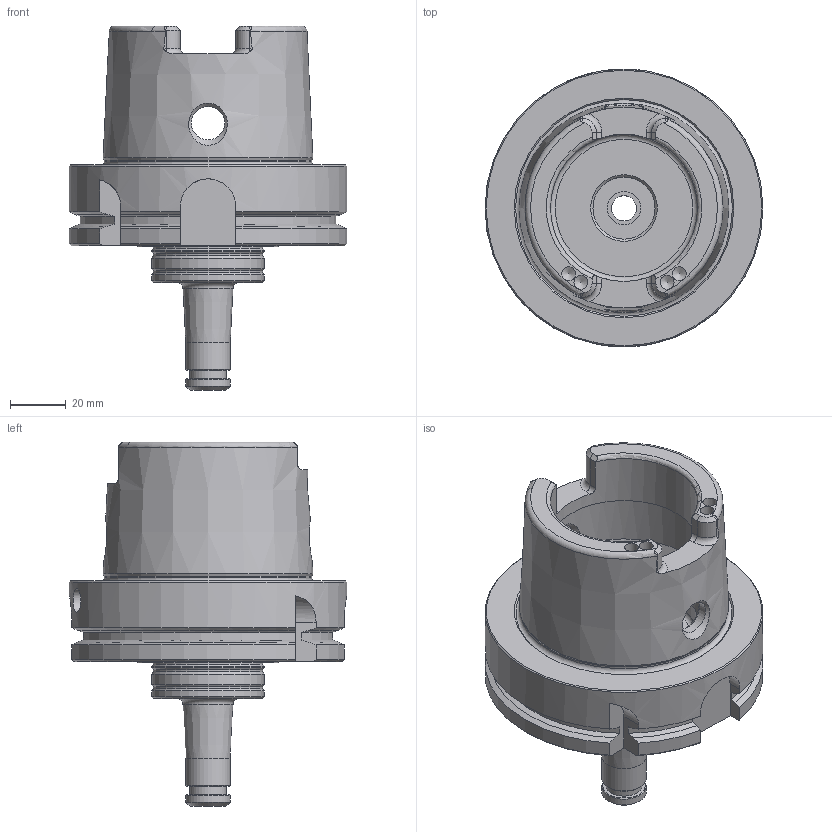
import cadquery as cq
import math


shank_height = 50.0
taper_base_d = 75.46
taper_base_z = 2.5
taper_slope = 0.046
rim_outer_fillet = 2.0
rim_inner_fillet = 1.5

relief_chamfer_z = 1.75
relief_neck_r = 37.4
relief_fillet_r = 1.6
relief_depth = 0.5

bore_d = 53.0
undercut_d = 63.0
undercut_top_z = 30.0
undercut_bottom_z = 9.6
undercut_angle = 20.0
floor_z = -12.2
floor_fillet = 1.75
thread_bore_d = 22.38
thread_chamfer_d = 24.0
thread_floor_z = -30.0
coolant_bore_d = 12.0
coolant_shoulder_z = -60.0
through_hole_d = 9.0

flange_d = 100.0
flange_thickness = 29.0
flange_top_chamfer = 0.4
flange_bottom_chamfer = 0.7
gripper_groove_d = 92.0
gripper_groove_top_z = -16.8
gripper_groove_bottom_z = -23.0
gripper_lip_r = 48.0
gripper_flank_height = 1.0
gripper_root_height = 0.7

step_d = 50.4
step_thickness = 0.4
collar_d = 40.5
collar_bottom_z = -42.4
collar_chamfer = 0.7
collar_relief_bottom_z = -30.65
ring_groove_depth = 0.5
ring_groove_flank = 0.75
ring_groove_width = 2.2
ring_groove_tops = (-31.3, -37.4)

stem_root_r = 9.0
stem_fillet = 2.0
stem_d = 16.0
stem_taper_end_z = -63.8
neck_d = 13.0
neck_top_z = -73.9
neck_bottom_z = -76.9
neck_edge_chamfer = 0.3
tip_z = -81.0
tip_chamfer_height = 1.3
tip_d = 12.8

drive_slot_width = 20.0
drive_slot_lobe_y = 32.2
drive_slot_corner_r = 5.0
drive_slot_floor_fillet = 2.0
drive_slot_rim_chamfer = 1.5
drive_slot_inner_y = 15.0
front_slot_floor_z = 40.0
back_slot_floor_z = 35.0

rim_hole_d = 5.0
rim_hole_circle_r = 31.0
rim_hole_angles = (30.0, 40.0)
rim_hole_depth = 10.0
drill_point_angle = 118.0

cross_hole_d = 12.0
cross_hole_z = 15.0
cross_sink_start_y = 35.55
inner_sink_start_y = 32.3
inner_sink_depth = 1.8

flange_slot_r = 10.0
flange_slot_centre_z = -15.0
flange_slot_floor_y = 44.0
notch_wall = 31.4
chip_hole_d = 8.5
chip_hole_z = -7.0
chip_hole_angle = 19.0
chip_hole_depth = 5.0

clearance = 20.0

flange_r = flange_d / 2
bore_r = bore_d / 2
tip_r = tip_d / 2
stem_r = stem_d / 2
arc_mid = math.sqrt(0.5)


def revolve_profile(profile):
    """Spin a closed (radius, z) outline about the workplane's vertical axis."""
    return profile.close().revolve(360, (0, 0, 0), (0, 1, 0))


def taper_r(z):
    return taper_base_d / 2 - (z - taper_base_z) * taper_slope


def outer_body():
    """Shank, flange, collar and stem as one turned solid."""
    relief_r = relief_neck_r + relief_fillet_r
    relief_centre_z = relief_fillet_r - relief_depth
    groove_r = gripper_groove_d / 2
    gripper_groove_inset = gripper_flank_height + gripper_root_height
    collar_r = collar_d / 2
    collar_top_z = -flange_thickness - step_thickness
    groove_floor_r = collar_r - ring_groove_depth
    neck_r = neck_d / 2

    outline = (
        cq.Workplane("XZ")
        .moveTo(0, shank_height)
        .lineTo(taper_r(shank_height), shank_height)
        .lineTo(taper_base_d / 2, taper_base_z)
        .lineTo(relief_neck_r, relief_chamfer_z)
        .lineTo(relief_neck_r, relief_centre_z)
        .threePointArc(
            (relief_r - relief_fillet_r * arc_mid, relief_centre_z - relief_fillet_r * arc_mid),
            (relief_r, -relief_depth),
        )
        .lineTo(relief_r + relief_depth, 0)
        .lineTo(flange_r - flange_top_chamfer, 0)
        .lineTo(flange_r, -flange_top_chamfer)
        .lineTo(flange_r, gripper_groove_top_z)
        .lineTo(gripper_lip_r, gripper_groove_top_z - gripper_flank_height)
        .lineTo(groove_r, gripper_groove_top_z - gripper_groove_inset)
        .lineTo(groove_r, gripper_groove_bottom_z + gripper_groove_inset)
        .lineTo(gripper_lip_r, gripper_groove_bottom_z + gripper_flank_height)
        .lineTo(flange_r, gripper_groove_bottom_z)
        .lineTo(flange_r, -flange_thickness + flange_bottom_chamfer)
        .lineTo(flange_r - flange_bottom_chamfer, -flange_thickness)
        .lineTo(step_d / 2, -flange_thickness)
        .lineTo(step_d / 2, collar_top_z)
        .lineTo(groove_floor_r, collar_top_z)
        .lineTo(groove_floor_r, collar_relief_bottom_z + ring_groove_flank)
        .lineTo(collar_r, collar_relief_bottom_z)
    )
    for top_z in ring_groove_tops:
        bottom_z = top_z - ring_groove_width
        outline = (
            outline.lineTo(collar_r, top_z)
            .lineTo(groove_floor_r, top_z - ring_groove_flank)
            .lineTo(groove_floor_r, bottom_z + ring_groove_flank)
            .lineTo(collar_r, bottom_z)
        )
    outline = (
        outline.lineTo(collar_r, collar_bottom_z + collar_chamfer)
        .lineTo(collar_r - collar_chamfer, collar_bottom_z)
        .lineTo(stem_root_r + stem_fillet, collar_bottom_z)
        .threePointArc(
            (
                stem_root_r + stem_fillet * (1 - arc_mid),
                collar_bottom_z - stem_fillet * (1 - arc_mid),
            ),
            (stem_root_r, collar_bottom_z - stem_fillet),
        )
        .lineTo(stem_r, stem_taper_end_z)
        .lineTo(stem_r, neck_top_z + neck_edge_chamfer)
        .lineTo(stem_r - neck_edge_chamfer, neck_top_z)
        .lineTo(neck_r, neck_top_z)
        .lineTo(neck_r, neck_bottom_z)
        .lineTo(stem_r - neck_edge_chamfer, neck_bottom_z)
        .lineTo(stem_r, neck_bottom_z - neck_edge_chamfer)
        .lineTo(stem_r, tip_z + tip_chamfer_height)
        .lineTo(tip_r, tip_z)
        .lineTo(0, tip_z)
    )
    body = revolve_profile(outline)
    return body.faces(">Z").edges().fillet(rim_outer_fillet)


def axial_bore():
    """Rounded mouth, undercut clamping bore, thread bore and coolant passage."""
    undercut_r = undercut_d / 2
    cone_height = (undercut_r - bore_r) / math.tan(math.radians(undercut_angle))
    thread_r = thread_bore_d / 2
    thread_chamfer = (thread_chamfer_d - thread_bore_d) / 2
    mouth_r = bore_r + rim_inner_fillet
    mouth_offset = rim_inner_fillet * arc_mid
    floor_arc_r = bore_r - floor_fillet
    floor_arc_z = floor_z + floor_fillet
    floor_offset = floor_fillet * arc_mid

    outline = (
        cq.Workplane("XZ")
        .moveTo(0, shank_height)
        .lineTo(mouth_r, shank_height)
        .threePointArc(
            (mouth_r - mouth_offset, shank_height - rim_inner_fillet + mouth_offset),
            (bore_r, shank_height - rim_inner_fillet),
        )
        .lineTo(bore_r, undercut_top_z)
        .lineTo(undercut_r, undercut_top_z)
        .lineTo(undercut_r, undercut_bottom_z)
        .lineTo(bore_r, undercut_bottom_z - cone_height)
        .lineTo(bore_r, floor_arc_z)
        .threePointArc(
            (floor_arc_r + floor_offset, floor_arc_z - floor_offset),
            (floor_arc_r, floor_z),
        )
        .lineTo(thread_chamfer_d / 2, floor_z)
        .lineTo(thread_r, floor_z - thread_chamfer)
        .lineTo(thread_r, thread_floor_z)
        .lineTo(coolant_bore_d / 2, thread_floor_z)
        .lineTo(coolant_bore_d / 2, coolant_shoulder_z)
        .lineTo(through_hole_d / 2, coolant_shoulder_z)
        .lineTo(through_hole_d / 2, tip_z)
        .lineTo(0, tip_z)
    )
    return revolve_profile(outline)


def drive_slot(floor_z_level):
    """Cutter for the -Y rim slot: rounded lobe corners, filleted floor and chamfered rim."""
    half = drive_slot_width / 2
    corner = drive_slot_corner_r
    corner_y = -drive_slot_lobe_y + corner
    bend = corner * (1 - arc_mid)
    outer_x = flange_r
    outer_y = -drive_slot_lobe_y - clearance

    slot = (
        cq.Workplane("XY", origin=(0, 0, floor_z_level))
        .moveTo(-half, -drive_slot_inner_y)
        .lineTo(-half, corner_y)
        .threePointArc((-half - bend, -drive_slot_lobe_y + bend), (-half - corner, -drive_slot_lobe_y))
        .lineTo(-outer_x, -drive_slot_lobe_y)
        .lineTo(-outer_x, outer_y)
        .lineTo(outer_x, outer_y)
        .lineTo(outer_x, -drive_slot_lobe_y)
        .lineTo(half + corner, -drive_slot_lobe_y)
        .threePointArc((half + bend, -drive_slot_lobe_y + bend), (half, corner_y))
        .lineTo(half, -drive_slot_inner_y)
        .close()
        .extrude(shank_height - floor_z_level)
    )
    slot = slot.faces("<Z").edges().fillet(drive_slot_floor_fillet)

    cover_size = 2 * flange_d
    cover = cq.Workplane("XY", origin=(0, 0, shank_height)).rect(cover_size, cover_size).extrude(clearance)
    cutter = slot.union(cover)
    mouth = cq.selectors.BoxSelector(
        (-flange_d * 0.9, -flange_d * 0.9, shank_height - 0.01),
        (flange_d * 0.9, flange_d * 0.9, shank_height + 0.01),
    )
    return cutter.edges(mouth).chamfer(drive_slot_rim_chamfer)


def rim_holes():
    """Four blind drilled holes in the rim beside the -Y slot."""
    hole_r = rim_hole_d / 2
    point_height = hole_r / math.tan(math.radians(drill_point_angle / 2))
    floor = shank_height - rim_hole_depth
    drill = revolve_profile(
        cq.Workplane("XZ")
        .moveTo(0, shank_height)
        .lineTo(hole_r, shank_height)
        .lineTo(hole_r, floor)
        .lineTo(0, floor - point_height)
    )
    holes = cq.Workplane("XY")
    for angle in rim_hole_angles:
        for side in (-1, 1):
            x = side * rim_hole_circle_r * math.sin(math.radians(angle))
            y = -rim_hole_circle_r * math.cos(math.radians(angle))
            holes = holes.add(drill.translate((x, y, 0)))
    return holes.combine()


def cross_hole():
    """Radial hole through both shank walls, countersunk at 45 degrees on both sides of each wall."""
    hole_r = cross_hole_d / 2
    half_length = cross_sink_start_y + clearance
    inner_sink_end_y = inner_sink_start_y - inner_sink_depth
    profile = (
        cq.Workplane("XY")
        .moveTo(0, -half_length)
        .lineTo(hole_r + clearance, -half_length)
        .lineTo(hole_r, -cross_sink_start_y)
        .lineTo(hole_r, -inner_sink_start_y)
        .lineTo(hole_r + inner_sink_depth, -inner_sink_end_y)
        .lineTo(hole_r, -inner_sink_end_y)
        .lineTo(hole_r, inner_sink_end_y)
        .lineTo(hole_r + inner_sink_depth, inner_sink_end_y)
        .lineTo(hole_r, inner_sink_start_y)
        .lineTo(hole_r, cross_sink_start_y)
        .lineTo(hole_r + clearance, half_length)
        .lineTo(0, half_length)
    )
    hole = revolve_profile(profile)
    guard = cq.Workplane("XY").rect(2 * flange_d, taper_base_d).extrude(shank_height)
    return hole.translate((0, 0, cross_hole_z)).intersect(guard)


def arched_cutter(centre_x, inner_y):
    """Round-topped slot, open at the flange underside, running from inner_y out past -Y."""
    left = centre_x - flange_slot_r
    right = centre_x + flange_slot_r
    bottom_z = -flange_thickness
    return (
        cq.Workplane("XZ", origin=(0, -inner_y, 0))
        .moveTo(left, bottom_z)
        .lineTo(left, flange_slot_centre_z)
        .threePointArc((centre_x, flange_slot_centre_z + flange_slot_r), (right, flange_slot_centre_z))
        .lineTo(right, bottom_z)
        .close()
        .extrude(flange_r - inner_y + clearance)
    )


def chip_hole():
    """Blind radial hole in the flange rim."""
    return (
        cq.Workplane("XZ", origin=(0, flange_r + clearance, chip_hole_z))
        .circle(chip_hole_d / 2)
        .extrude(clearance + chip_hole_depth)
        .rotate((0, 0, 0), (0, 0, 1), chip_hole_angle)
    )


def half_turn(cutter):
    return cutter.rotate((0, 0, 0), (0, 0, 1), 180)


result = outer_body().cut(axial_bore())
result = result.cut(drive_slot(front_slot_floor_z))
result = result.cut(half_turn(drive_slot(back_slot_floor_z)))
result = result.cut(rim_holes())
result = result.cut(cross_hole())

flange_slot = arched_cutter(0, flange_slot_floor_y)
result = result.cut(flange_slot).cut(half_turn(flange_slot))
result = result.cut(arched_cutter(-notch_wall - flange_slot_r, notch_wall))
result = result.cut(chip_hole())